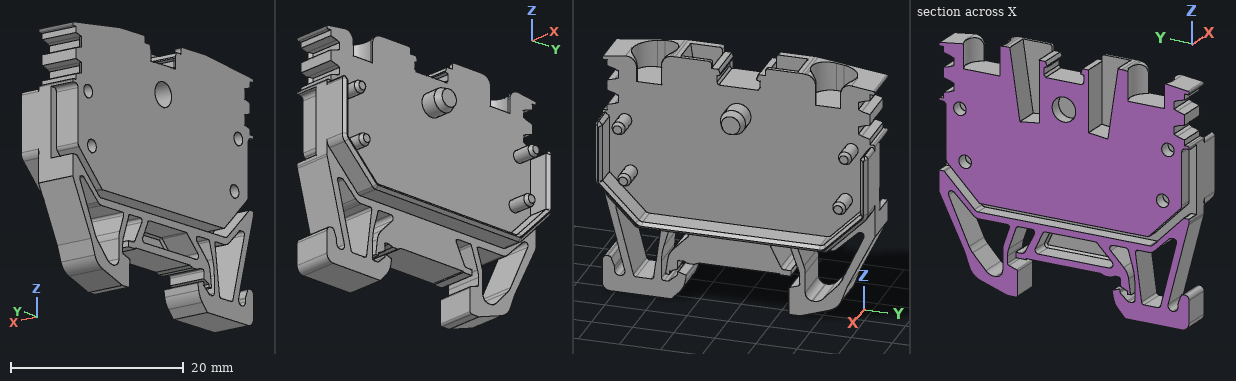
import cadquery as cq
import math


HALF_LENGTH = 16.6
HEIGHT = 30.88
SLAB_THICKNESS = 5.1
TOTAL_THICKNESS = 8.1

NOTCH_HALF_WIDTH = 2.22
NOTCH_FLOOR_Z = 28.02
SHELF_Z = 30.0
SHELF_BEVEL = (0.2, 0.53)
UNDERCUT_TOP_Z = 29.3
UNDERCUT_ROOF_DROP = 0.15
UNDERCUT_BOTTOM_Z = 28.35
UNDERCUT_BACK_Y = 2.62
UNDERCUT_FOOT_Y = 2.4
SHELF_END_Y = 3.3
SLOPE_START_Y = 7.9
SLOPE_BLEND_RADIUS = 3.0
LIP_TOP_Z = 29.78
LIP_BOTTOM_Z = 29.3
TOOTH_TIP_Y = 16.0
GROOVE_FLOOR_Y = 15.05
GROOVE_CENTRES_Z = (27.7, 24.57)
GROOVE_FLOOR_HALF = 0.63
GROOVE_MOUTH_HALF = 0.9
SHOULDER_Z = 22.97
WEB_THICKNESS = 0.2

GROOVE_POCKET_DEPTH = 0.43
GROOVE_POCKET_NARROWING = 0.2
GROOVE_POCKET_START_X = WEB_THICKNESS

CHANNEL_DEPTH = 3.22
CHANNEL_TOP_Z = 22.55
CHANNEL_INNER_Y = 15.65
CHANNEL_INNER_CORNER_Z = 15.17
CHANNEL_INNER_BOTTOM_Z = 10.72
CHANNEL_OUTER_Y = 15.87
CHANNEL_LEDGE_Z = 13.95
CHANNEL_BOTTOM_Z = 9.7
RIM_TOP_Z = 22.68
RIM_INNER_Y = 15.7
RIM_CORNER_Z = 14.77
RIM_BOTTOM_Z = 9.75
RIM_FLOOR_Z = 10.55
RIM_END_RADIUS = 0.43
RIM_CHAMFER = 0.4

CENTRE_PEG = (0.0, 24.47)
CORNER_PEGS = [(side * y, z) for side in (-1, 1) for y, z in ((13.78, 22.0), (13.08, 15.57))]
CENTRE_PEG_DIAMETER = 3.05
CORNER_PEG_DIAMETER = 1.6
CENTRE_PEG_TIP = (0.93, 0.4)
CORNER_PEG_TIP = (0.5, 0.25)
PEG_HOLE_DEPTH = TOTAL_THICKNESS - SLAB_THICKNESS

WELL_Y = 10.9
WELL_X = 2.75
WELL_WIDTH = 4.6
WELL_LENGTH = 5.5
WELL_FLOOR_Z = 27.1
GAP_WIDTH = 3.05
GAP_SHOULDER_RADIUS = 1.2

FUNNEL_X = (0.95, 4.6)
FUNNEL_OUTER_Y = 7.15
FUNNEL_DEPTH = 8.95
FUNNEL_WALL_TILT = 8.5
FUNNEL_FLOOR_TILT = 7.0

RECESS_DEPTH = 4.0
RECESS_CHAMFER = 0.25


def rounded_outline(corners, start_x=0.0):
    """Closed YZ outline from (y, z, radius) corners; each non-zero radius rounds its corner."""
    stretches = []
    for i, (y, z, radius) in enumerate(corners):
        here = cq.Vector(y, z)
        if radius == 0:
            stretches.append((here, None, here))
            continue
        to_previous = (cq.Vector(*corners[i - 1][:2]) - here).normalized()
        to_following = (cq.Vector(*corners[(i + 1) % len(corners)][:2]) - here).normalized()
        half_angle = to_previous.getAngle(to_following) / 2
        tangent_length = radius / math.tan(half_angle)
        bisector = (to_previous + to_following).normalized()
        middle = here + bisector * (radius / math.sin(half_angle) - radius)
        arc_start = here + to_previous * tangent_length
        arc_end = here + to_following * tangent_length
        stretches.append((arc_start, middle, arc_end))

    outline = cq.Workplane("YZ", origin=(start_x, 0, 0)).moveTo(*stretches[0][2].toTuple()[:2])
    for arc_start, middle, arc_end in stretches[1:] + stretches[:1]:
        outline = outline.lineTo(*arc_start.toTuple()[:2])
        if middle is not None:
            outline = outline.threePointArc(middle.toTuple()[:2], arc_end.toTuple()[:2])
    return outline.close()


def mirrored(half):
    """The same corners at -Y, in reverse order, so that they close a symmetric outline."""
    return [(-y, z, radius) for y, z, radius in reversed(half)]


def both_ends(solid):
    """The solid together with its mirror image at -Y."""
    return solid.union(solid.mirror("XZ"))


def block_body():
    """Slab and feet: one outline through the full slab thickness, less the two leg windows."""
    upper_half = [
        (NOTCH_HALF_WIDTH, NOTCH_FLOOR_Z, 0),
        (NOTCH_HALF_WIDTH, SHELF_Z - SHELF_BEVEL[1], 0),
        (NOTCH_HALF_WIDTH + SHELF_BEVEL[0], SHELF_Z, 0),
        (SHELF_END_Y, SHELF_Z, 0),
        (SHELF_END_Y, HEIGHT, 0.3),
        (SLOPE_START_Y, HEIGHT, SLOPE_BLEND_RADIUS),
        (HALF_LENGTH, LIP_TOP_Z, 0.15),
        (HALF_LENGTH, LIP_BOTTOM_Z, 0.15),
        (TOOTH_TIP_Y, LIP_BOTTOM_Z, 0),
    ]
    for z in GROOVE_CENTRES_Z:
        upper_half += [
            (TOOTH_TIP_Y, z + GROOVE_MOUTH_HALF, 0),
            (GROOVE_FLOOR_Y, z + GROOVE_FLOOR_HALF, 0),
            (GROOVE_FLOOR_Y, z - GROOVE_FLOOR_HALF, 0),
            (TOOTH_TIP_Y, z - GROOVE_MOUTH_HALF, 0),
        ]
    upper_half += [
        (TOOTH_TIP_Y, SHOULDER_Z, 0),
        (HALF_LENGTH, SHOULDER_Z, 0.2),
    ]
    fixed_foot = [
        (HALF_LENGTH, 11.25, 0),
        (13.2, 4.45, 0),
        (12.15, 1.55, 2.32),
        (7.5, 0, 0),
        (6.1, 0, 0.25),
        (6.1, 3.42, 0.2),
        (7.45, 3.85, 0.25),
        (7.45, 5.4, 2.65),
        (6.25, 8.8, 0.25),
    ]
    bridge = [
        (3.7, 8.8, 0.33),
        (5.3, 5.6, 0.53),
        (6.37, 5.6, 0),
        (6.37, 4.88, 0),
        (5.05, 4.88, 0),
        (4.98, 5.0, 0),
        (-4.88, 5.0, 0),
        (-5.38, 4.78, 0),
        (-6.18, 4.78, 0),
        (-6.77, 5.0, 0),
        (-7.45, 5.0, 0.2),
        (-7.45, 3.92, 0),
        (-8.4, 3.45, 0),
        (-8.4, 3.1, 0),
        (-8.85, 3.1, 0),
        (-8.5, 5.8, 2.32),
        (-5.55, 8.8, 0.4),
    ]
    sprung_foot = [
        (-8.43, 8.8, 0.25),
        (-9.35, 5.65, 6.65),
        (-9.35, 2.22, 0.33),
        (-8.5, 2.22, 0.25),
        (-7.45, 3.15, 0.1),
        (-7.45, 3.62, 0.13),
        (-6.35, 3.25, 0.1),
        (-6.65, 1.6, 2.65),
        (-8.1, 0, 0),
        (-HALF_LENGTH, 0, 1),
        (-HALF_LENGTH, 4.45, 0.6),
        (-15.57, 4.45, 0.4),
        (-15.07, 3.15, 0.33),
        (-15.07, 2.12, 0.6),
        (-13.65, 2.12, 0.6),
        (-HALF_LENGTH, 13.38, 1),
    ]
    fixed_leg_window = [
        (15.6, 11.82, 0.4),
        (12.35, 4.78, 2.65),
        (9.8, 2.03, 1.5),
        (8.15, 2.22, 0.93),
        (8.15, 5.98, 2.65),
        (7.15, 8.8, 0.25),
        (11.7, 8.8, 1),
        (14.6, 11.55, 0.4),
    ]
    sprung_leg_window = [
        (-9.45, 8.8, 0.25),
        (-11.7, 8.8, 1.33),
        (-14.08, 11.1, 0.25),
        (-15.0, 11.1, 0.33),
        (-12.7, 2.22, 0.33),
        (-10.35, 2.22, 0.33),
    ]
    outline = upper_half + fixed_foot + bridge + sprung_foot + mirrored(upper_half)
    body = rounded_outline(outline).extrude(SLAB_THICKNESS)
    for window in (fixed_leg_window, sprung_leg_window):
        body = body.cut(rounded_outline(window).extrude(SLAB_THICKNESS))
    return body


def channel():
    """U-shaped recess in the -X face, open at both ends of the slab and at 45 degrees at its corners."""
    ledge_run = CHANNEL_LEDGE_Z - CHANNEL_BOTTOM_Z
    inner_run = CHANNEL_INNER_CORNER_Z - CHANNEL_INNER_BOTTOM_Z
    beyond_end = HALF_LENGTH + 0.33
    outer_half = [
        (CHANNEL_OUTER_Y - ledge_run, CHANNEL_BOTTOM_Z, 0.65),
        (CHANNEL_OUTER_Y, CHANNEL_LEDGE_Z, 0.2),
        (beyond_end, CHANNEL_LEDGE_Z, 0),
    ]
    inner_half = [
        (beyond_end, CHANNEL_TOP_Z, 0),
        (CHANNEL_INNER_Y, CHANNEL_TOP_Z, 0.5),
        (CHANNEL_INNER_Y, CHANNEL_INNER_CORNER_Z, 0.65),
        (CHANNEL_INNER_Y - inner_run, CHANNEL_INNER_BOTTOM_Z, 0.25),
    ]
    half = outer_half + inner_half
    return rounded_outline(half + mirrored(half)).extrude(CHANNEL_DEPTH)


def nesting_rim():
    """U-shaped rim on the far face: a rounded plate less its middle, both free edges chamfered."""
    rim_depth = TOTAL_THICKNESS - SLAB_THICKNESS
    outer_run = RIM_CORNER_Z - RIM_BOTTOM_Z
    outer_half = [
        (HALF_LENGTH - outer_run, RIM_BOTTOM_Z, 0.65),
        (HALF_LENGTH, RIM_CORNER_Z, 1.33),
        (HALF_LENGTH, RIM_TOP_Z, RIM_END_RADIUS),
    ]
    inner_run = CHANNEL_INNER_CORNER_Z - RIM_FLOOR_Z
    inner_bevel_z = RIM_TOP_Z - (HALF_LENGTH - RIM_END_RADIUS - RIM_INNER_Y)
    inner_half = [
        (RIM_INNER_Y - inner_run, RIM_FLOOR_Z, 0.65),
        (RIM_INNER_Y, CHANNEL_INNER_CORNER_Z, 0),
        (RIM_INNER_Y, inner_bevel_z, 0),
        (RIM_INNER_Y + HEIGHT - inner_bevel_z, HEIGHT, 0),
    ]
    plate = rounded_outline(outer_half + mirrored(outer_half), SLAB_THICKNESS).extrude(rim_depth)
    plate = plate.faces(">X").chamfer(RIM_CHAMFER)
    middle = inner_half + mirrored(inner_half)
    flare = rounded_outline(middle, TOTAL_THICKNESS - RIM_CHAMFER).extrude(RIM_CHAMFER, taper=-45)
    return plate.cut(rounded_outline(middle, SLAB_THICKNESS).extrude(rim_depth)).cut(flare)


def peg(centre, diameter, tip_length, tip_inset):
    """Round peg on the far face with a tapered tip."""
    shaft = cq.Workplane("YZ", origin=(SLAB_THICKNESS, 0, 0)).center(*centre).circle(diameter / 2)
    shaft = shaft.extrude(TOTAL_THICKNESS - SLAB_THICKNESS)
    return shaft.faces(">X").edges().chamfer(tip_length, tip_inset)


def peg_holes():
    """Blind holes in the -X face, one opposite each peg."""
    holes = cq.Workplane("YZ").center(*CENTRE_PEG).circle(CENTRE_PEG_DIAMETER / 2).extrude(PEG_HOLE_DEPTH)
    corner_holes = cq.Workplane("YZ").pushPoints(CORNER_PEGS).circle(CORNER_PEG_DIAMETER / 2)
    return holes.union(corner_holes.extrude(PEG_HOLE_DEPTH))


def screw_well():
    """Obround well at +Y, its long side along the block."""
    well = cq.Workplane("XY", origin=(WELL_X, WELL_Y, WELL_FLOOR_Z)).slot2D(WELL_LENGTH, WELL_WIDTH, 90)
    return well.extrude(HEIGHT - WELL_FLOOR_Z)


def wire_funnel():
    """Funnel at +Y: inner wall upright, outer wall leaning inward, floor sloping down and outward."""
    floor_outer_y = FUNNEL_OUTER_Y - FUNNEL_DEPTH * math.tan(math.radians(FUNNEL_WALL_TILT))
    floor_rise = (floor_outer_y - SHELF_END_Y) * math.tan(math.radians(FUNNEL_FLOOR_TILT))
    floor_z = HEIGHT - FUNNEL_DEPTH
    start_x, end_x = FUNNEL_X
    return (
        cq.Workplane("YZ", origin=(start_x, 0, 0))
        .polyline([
            (FUNNEL_OUTER_Y, HEIGHT),
            (floor_outer_y, floor_z),
            (SHELF_END_Y, floor_z + floor_rise),
            (SHELF_END_Y, HEIGHT),
        ])
        .close()
        .extrude(end_x - start_x)
    )


def groove_pocket(z):
    """Deeper part of an edge groove at +Y: it narrows toward its floor and starts with a 45 degree wall."""
    floor_half = GROOVE_FLOOR_HALF - GROOVE_POCKET_NARROWING
    floor_y = GROOVE_FLOOR_Y - GROOVE_POCKET_DEPTH
    section = cq.Workplane("YZ").polyline([
        (GROOVE_FLOOR_Y, z + GROOVE_FLOOR_HALF),
        (floor_y, z + floor_half),
        (floor_y, z - floor_half),
        (GROOVE_FLOOR_Y, z - GROOVE_FLOOR_HALF),
    ])
    plan = cq.Workplane("XY").polyline([
        (GROOVE_POCKET_START_X, GROOVE_FLOOR_Y),
        (GROOVE_POCKET_START_X + GROOVE_POCKET_DEPTH, floor_y),
        (SLAB_THICKNESS, floor_y),
        (SLAB_THICKNESS, GROOVE_FLOOR_Y),
    ])
    return section.close().extrude(SLAB_THICKNESS).intersect(plan.close().extrude(HEIGHT))


def bridge_recess():
    """Blind recess in the bridge between the feet, with a 45 degree chamfer around its floor."""
    corners = [
        (2.7, 8.8, 0.33),
        (4.02, 5.95, 0.4),
        (-7.1, 5.95, 0.45),
        (-4.28, 8.8, 0.33),
    ]
    return rounded_outline(corners).extrude(RECESS_DEPTH).faces(">X").chamfer(RECESS_CHAMFER)


def notch_undercut():
    """Latch groove under the +Y lip of the top notch; a thin web closes it at the -X face."""
    groove = [
        (NOTCH_HALF_WIDTH, UNDERCUT_TOP_Z, 0),
        (UNDERCUT_BACK_Y, UNDERCUT_TOP_Z - UNDERCUT_ROOF_DROP, 0),
        (UNDERCUT_BACK_Y, UNDERCUT_BOTTOM_Z, 0),
        (UNDERCUT_FOOT_Y, NOTCH_FLOOR_Z, 0),
        (NOTCH_HALF_WIDTH, NOTCH_FLOOR_Z, 0),
    ]
    return rounded_outline(groove, WEB_THICKNESS).extrude(SLAB_THICKNESS - WEB_THICKNESS)


def shoulder_gap():
    """Gap at +Y through the wall beside the well, its sides rolling over into the sloping top."""
    slope = (HEIGHT - LIP_TOP_Z) / (HALF_LENGTH - SLOPE_START_Y)
    near_y = WELL_Y - GAP_WIDTH / 2
    far_y = WELL_Y + GAP_WIDTH / 2
    near_top_z = HEIGHT - slope * (near_y - SLOPE_START_Y)
    far_top_z = HEIGHT - slope * (far_y - SLOPE_START_Y)
    above_z = HEIGHT + 0.33
    near_end_y = near_y - 2 * GAP_SHOULDER_RADIUS
    far_end_y = far_y + 2 * GAP_SHOULDER_RADIUS
    outline = [
        (near_y, WELL_FLOOR_Z, 0),
        (far_y, WELL_FLOOR_Z, 0),
        (far_y, far_top_z, GAP_SHOULDER_RADIUS),
        (far_end_y, far_top_z - slope * 2 * GAP_SHOULDER_RADIUS, 0),
        (far_end_y, above_z, 0),
        (near_end_y, above_z, 0),
        (near_end_y, near_top_z + slope * 2 * GAP_SHOULDER_RADIUS, 0),
        (near_y, near_top_z, GAP_SHOULDER_RADIUS),
    ]
    return rounded_outline(outline, WELL_X).extrude(SLAB_THICKNESS - WELL_X)


result = block_body().cut(channel()).cut(peg_holes()).cut(bridge_recess())

end_cuts = [screw_well(), shoulder_gap(), wire_funnel(), notch_undercut()]
end_cuts += [groove_pocket(z) for z in GROOVE_CENTRES_Z]
for end_cut in end_cuts:
    result = result.cut(both_ends(end_cut))

result = result.union(nesting_rim()).union(peg(CENTRE_PEG, CENTRE_PEG_DIAMETER, *CENTRE_PEG_TIP))
for corner in CORNER_PEGS:
    result = result.union(peg(corner, CORNER_PEG_DIAMETER, *CORNER_PEG_TIP))